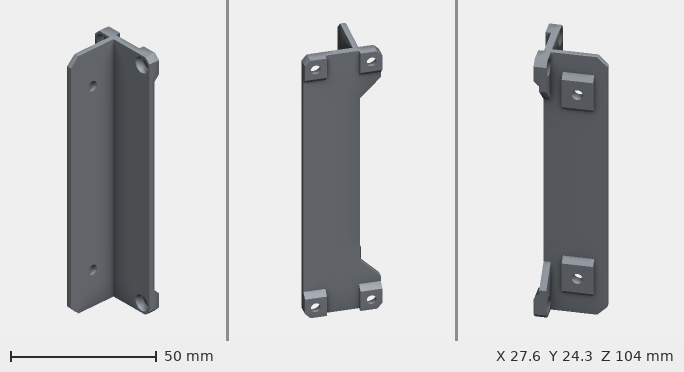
import cadquery as cq

LENGTH = 104.0
FLANGE_WIDTH = 27.6
FLANGE_THICKNESS = 4.5
CORNER_CHAMFER = 2.0
HALF_LENGTH = LENGTH / 2

EAR_STRAIGHT = 11.9

FOOT_WIDTH = 7.8
FOOT_LENGTH = 7.8
RECESS_DEPTH = 2.0

WEB_LEFT = 7.4
WEB_THICKNESS = 2.0
WEB_FRONT = -24.3
WEB_CHAMFER = 3.5

PAD_HEIGHT = 2.1
PAD_SLOPE_RUN = 2.0
PAD_FLAT = 11.0
PAD_LENGTH = PAD_FLAT + 2 * PAD_SLOPE_RUN
PAD_CENTER_Y = -14.2
PAD_CENTER_Z = HALF_LENGTH - 14.9
PAD_HOLE_DIAMETER = 4.0

SCREW_INSET_X = 3.8
SCREW_INSET_Z = 4.0
SCREW_DIAMETER = 3.4
HEAD_DIAMETER = 6.3
HEAD_DEPTH = 3.4

ENDS = (-1, 1)


def make_flange():
    """Plate with chamfered corners and a long left-hand cutout between the ears."""
    ear_edge = HALF_LENGTH - EAR_STRAIGHT
    cutout_edge = ear_edge - WEB_LEFT
    plate = (
        cq.Workplane("XY")
        .box(FLANGE_WIDTH, FLANGE_THICKNESS, LENGTH, centered=(False, False, True))
        .translate((0, -FLANGE_THICKNESS, 0))
        .edges("|Y")
        .chamfer(CORNER_CHAMFER)
    )
    cutout = (
        cq.Workplane("XZ")
        .polyline([(0, ear_edge), (WEB_LEFT, cutout_edge), (WEB_LEFT, -cutout_edge), (0, -ear_edge)])
        .close()
        .extrude(FLANGE_THICKNESS)
    )
    return plate.cut(cutout)


def make_recess():
    """Cross-shaped relief in the back face, leaving four feet with sloped inner ends."""
    channel = (
        cq.Workplane("XY")
        .box(FLANGE_WIDTH - 2 * FOOT_WIDTH, RECESS_DEPTH, LENGTH, centered=(False, False, True))
        .translate((FOOT_WIDTH, -RECESS_DEPTH, 0))
    )
    opening_edge = HALF_LENGTH - FOOT_LENGTH
    floor_edge = opening_edge - RECESS_DEPTH
    middle = (
        cq.Workplane("YZ")
        .polyline([
            (0, opening_edge),
            (-RECESS_DEPTH, floor_edge),
            (-RECESS_DEPTH, -floor_edge),
            (0, -opening_edge),
        ])
        .close()
        .extrude(FLANGE_WIDTH)
    )
    return channel.union(middle)


def make_web():
    """Full-length web with its two front corners chamfered."""
    return (
        cq.Workplane("XY")
        .box(WEB_THICKNESS, -WEB_FRONT - RECESS_DEPTH, LENGTH, centered=(False, False, True))
        .translate((WEB_LEFT, WEB_FRONT, 0))
        .edges("|X and <Y")
        .chamfer(WEB_CHAMFER)
    )


def make_pad(center_z):
    """Pad with a square flat and sloped faces at its upper and lower ends."""
    pad_left = WEB_LEFT - PAD_HEIGHT
    return (
        cq.Workplane("XZ", origin=(0, PAD_CENTER_Y, center_z))
        .polyline([
            (WEB_LEFT, PAD_LENGTH / 2),
            (pad_left, PAD_FLAT / 2),
            (pad_left, -PAD_FLAT / 2),
            (WEB_LEFT, -PAD_LENGTH / 2),
        ])
        .close()
        .extrude(PAD_FLAT / 2, both=True)
    )


def make_pad_hole(center_z):
    """Cylinder passing through a pad and the web behind it."""
    return (
        cq.Workplane("YZ", origin=(WEB_LEFT - PAD_HEIGHT, PAD_CENTER_Y, center_z))
        .circle(PAD_HOLE_DIAMETER / 2)
        .extrude(PAD_HEIGHT + WEB_THICKNESS)
    )


def make_screw_hole(x, z):
    """Through hole with a counterbore sunk from the front face of the flange."""
    shank = cq.Workplane("XZ", origin=(x, 0, z)).circle(SCREW_DIAMETER / 2).extrude(FLANGE_THICKNESS)
    head = (
        cq.Workplane("XZ", origin=(x, HEAD_DEPTH - FLANGE_THICKNESS, z))
        .circle(HEAD_DIAMETER / 2)
        .extrude(HEAD_DEPTH)
    )
    return shank.union(head)


result = make_flange().union(make_web()).cut(make_recess())

for end in ENDS:
    result = result.union(make_pad(end * PAD_CENTER_Z))
    result = result.cut(make_pad_hole(end * PAD_CENTER_Z))
    for screw_x in (SCREW_INSET_X, FLANGE_WIDTH - SCREW_INSET_X):
        result = result.cut(make_screw_hole(screw_x, end * (HALF_LENGTH - SCREW_INSET_Z)))